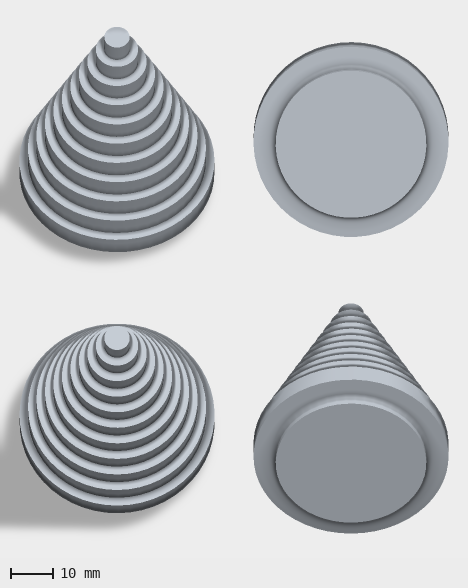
import cadquery as cq
import math

STEP_COUNT = 11
STEP_HEIGHT = 5.0
TOP_DIAMETER = 6.0
DIAMETER_INCREMENT = 4.0
BASE_DIAMETER = TOP_DIAMETER + (STEP_COUNT - 1) * DIAMETER_INCREMENT

FOOT_DIAMETER = 35.54
FOOT_HEIGHT = 2.5
FOOT_FILLET_RADIUS = 1.0


def make_disc(level):
    """Make one disc of the cone; level 0 is the widest, resting on Z = 0."""
    diameter = BASE_DIAMETER - level * DIAMETER_INCREMENT
    return (
        cq.Workplane("XY")
        .workplane(offset=level * STEP_HEIGHT)
        .circle(diameter / 2)
        .extrude(STEP_HEIGHT)
    )


def make_stepped_cone():
    """Stack all the discs upward, widest at the bottom."""
    cone = make_disc(0)
    for level in range(1, STEP_COUNT):
        cone = cone.union(make_disc(level))
    return cone


def make_foot():
    """Revolve the foot profile, flaring outward where it meets the cone."""
    radius = FOOT_DIAMETER / 2
    flare_radius = radius + FOOT_FILLET_RADIUS
    mid_arc_offset = FOOT_FILLET_RADIUS * math.sin(math.radians(45))
    mid_arc_point = (
        flare_radius - mid_arc_offset,
        mid_arc_offset - FOOT_FILLET_RADIUS,
    )
    return (
        cq.Workplane("XZ")
        .moveTo(0, 0)
        .lineTo(0, -FOOT_HEIGHT)
        .lineTo(radius, -FOOT_HEIGHT)
        .lineTo(radius, -FOOT_FILLET_RADIUS)
        .threePointArc(mid_arc_point, (flare_radius, 0))
        .close()
        .revolve(360, (0, 0), (0, 1))
    )


result = make_stepped_cone().union(make_foot())